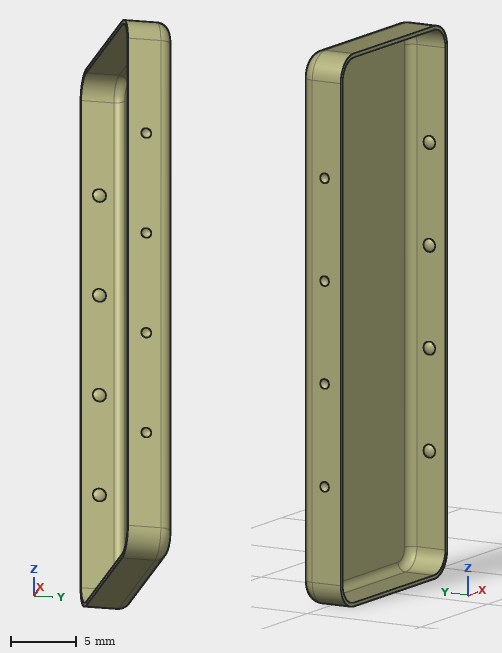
import cadquery as cq
import math

width = 15.9
depth = 3.5
height = 42.9
wall = 0.3
corner_radius = 1.97
floor_edge_radius = 1.0

dimple_count = 4
dimple_pitch = 8.0
dimple_from_mouth = 1.4
bump_base_radius = 0.5
bump_height = 0.2
dish_rim_radius = 0.4
dish_depth = 0.2

mouth_y = -depth / 2
dimple_y = mouth_y + dimple_from_mouth


def rounded_block(inset):
    """Block whose outline and floor are set inward by inset, with its floor edge rounded."""
    return (
        cq.Workplane("XZ", origin=(0, mouth_y, 0))
        .rect(width - 2 * inset, height - 2 * inset)
        .extrude(-(depth - inset))
        .edges("|Y")
        .fillet(corner_radius - inset)
        .faces(">Y")
        .edges()
        .fillet(floor_edge_radius - inset)
    )


def dimple_cap(side, z, base_offset, base_radius, cap_height):
    """Spherical cap standing inward from a plane base_offset inside the side wall's outer face."""
    base_x = side * (width / 2 - base_offset)
    tip_x = base_x - side * cap_height
    sphere_radius = (base_radius**2 + cap_height**2) / (2 * cap_height)
    center_x = tip_x + side * sphere_radius
    half_angle = math.asin(base_radius / sphere_radius) / 2
    arc_middle_x = center_x - side * sphere_radius * math.cos(half_angle)
    arc_middle_z = sphere_radius * math.sin(half_angle)
    return (
        cq.Workplane("XZ", origin=(0, dimple_y, z))
        .moveTo(base_x, 0)
        .lineTo(tip_x, 0)
        .threePointArc((arc_middle_x, arc_middle_z), (base_x, base_radius))
        .close()
        .revolve(360, (base_x, 0), (tip_x, 0))
    )


tray = rounded_block(0).cut(rounded_block(wall))

first_dimple_z = -dimple_pitch * (dimple_count - 1) / 2
for side in (-1, 1):
    for index in range(dimple_count):
        z = first_dimple_z + index * dimple_pitch
        bump = dimple_cap(side, z, wall, bump_base_radius, bump_height)
        dish = dimple_cap(side, z, 0, dish_rim_radius, dish_depth)
        tray = tray.union(bump).cut(dish)

result = tray